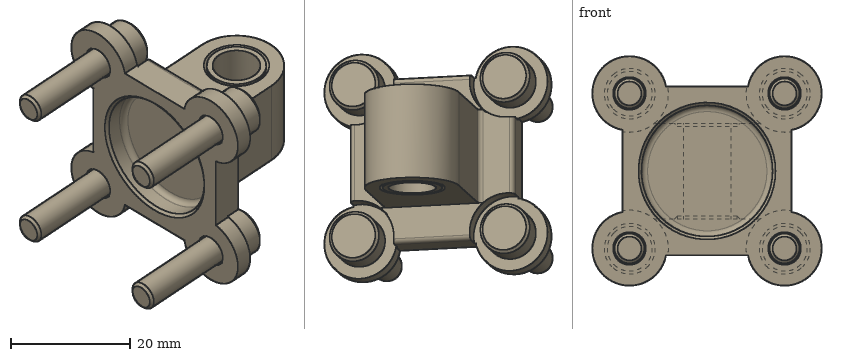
import cadquery as cq


overall_length = 45.0

body_side = 28.35
body_thickness = 6.0
bolt_spacing = 26.0
lug_radius = 6.25
lug_thickness = body_thickness / 2
bolt_hole_diameter = 5.5
head_relief_radius = 6.5
edge_round = 0.8

recess_diameter = 22.0
recess_depth = 4.0
recess_chamfer = 0.5
recess_floor_fillet = 1.0

eye_width = 16.0
eye_radius = eye_width / 2
eye_center_y = 20.0
eye_bore_diameter = 8.0
eye_root_fillet = 0.8
ring_diameter = 10.0
groove_diameter = 11.0
groove_depth = (groove_diameter - ring_diameter) / 2

shank_diameter = 5.0
head_diameter = 8.5
head_height = 5.0
head_chamfer = 0.5
tip_chamfer = 0.5
shank_tip_y = eye_center_y + eye_radius - overall_length

half_spacing = bolt_spacing / 2
bolt_places = [(x, z) for x in (-half_spacing, half_spacing) for z in (-half_spacing, half_spacing)]


def cylinder_y(diameter, y_start, y_end, x=0, z=0):
    """Solid cylinder along +Y from y_start to y_end, centred on (x, z)."""
    start = cq.Vector(x, y_start, z)
    solid = cq.Solid.makeCylinder(diameter / 2, y_end - y_start, start, cq.Vector(0, 1, 0))
    return cq.Workplane(obj=solid)


def make_eye():
    """Eye with a round end, running into the back of the centre block."""
    straight_length = eye_center_y - body_thickness
    return (
        cq.Workplane("XY", origin=(0, 0, -eye_width / 2))
        .moveTo(-eye_radius, body_thickness)
        .line(0, straight_length)
        .threePointArc((0, eye_center_y + eye_radius), (eye_radius, eye_center_y))
        .line(0, -straight_length)
        .close()
        .extrude(eye_width)
    )


def make_root_fillet(side):
    """Concave fillet between the eye and the block on the side given by its sign."""
    eye_face_x = side * eye_radius
    arc_x = side * (eye_radius + eye_root_fillet)
    arc_y = body_thickness + eye_root_fillet
    return (
        cq.Workplane("XY", origin=(0, 0, -eye_width / 2))
        .moveTo(eye_face_x, body_thickness)
        .lineTo(arc_x, body_thickness)
        .radiusArc((eye_face_x, arc_y), side * eye_root_fillet)
        .close()
        .extrude(eye_width)
    )


def make_recess():
    """Cutter for the round recess: chamfered mouth and rounded floor corner."""
    radius = recess_diameter / 2
    mouth = (
        cq.Workplane("XY")
        .lineTo(radius + recess_chamfer, 0)
        .lineTo(radius, recess_chamfer)
        .lineTo(0, recess_chamfer)
        .close()
        .revolve(360, (0, 0), (0, 1))
    )
    pocket = cylinder_y(recess_diameter, 0, recess_depth).edges(">Y").fillet(recess_floor_fillet)
    return pocket.union(mouth)


def make_groove(end):
    """Cutter for the V groove around the bore, on the eye face given by its sign."""
    face_z = end * eye_width / 2
    return (
        cq.Workplane("XZ", origin=(0, eye_center_y, 0))
        .moveTo(ring_diameter / 2, face_z)
        .lineTo(groove_diameter / 2, face_z)
        .lineTo(ring_diameter / 2, face_z - end * groove_depth)
        .close()
        .revolve(360, (0, 0), (0, 1))
    )


def make_housing():
    block = (
        cq.Workplane("XY")
        .box(body_side, body_thickness, body_side, centered=(True, False, True))
        .faces(">Y")
        .edges()
        .fillet(edge_round)
    )
    for x, z in bolt_places:
        block = block.cut(cylinder_y(2 * head_relief_radius, lug_thickness, body_thickness, x, z))
    housing = block.union(make_eye())
    for side in (-1, 1):
        housing = housing.union(make_root_fillet(side))
    for x, z in bolt_places:
        housing = housing.union(cylinder_y(2 * lug_radius, 0, lug_thickness, x, z))
    for x, z in bolt_places:
        housing = housing.cut(cylinder_y(bolt_hole_diameter, 0, lug_thickness, x, z))
    housing = housing.cut(make_recess())
    eye_bore = (
        cq.Workplane("XY", origin=(0, eye_center_y, -eye_width / 2))
        .circle(eye_bore_diameter / 2)
        .extrude(eye_width)
    )
    housing = housing.cut(eye_bore)
    for end in (-1, 1):
        housing = housing.cut(make_groove(end))
    return housing


def make_bolt(x, z):
    """Bolt whose head rests on the back of a lug and whose shank points to -Y."""
    head_top = lug_thickness + head_height
    head = cylinder_y(head_diameter, lug_thickness, head_top, x, z).edges(">Y").chamfer(head_chamfer)
    shank = cylinder_y(shank_diameter, shank_tip_y, lug_thickness, x, z).edges("<Y").chamfer(tip_chamfer)
    return head.union(shank)


housing = make_housing()
bolts = [make_bolt(x, z) for x, z in bolt_places]

result = cq.Compound.makeCompound([housing.val(), *[bolt.val() for bolt in bolts]])